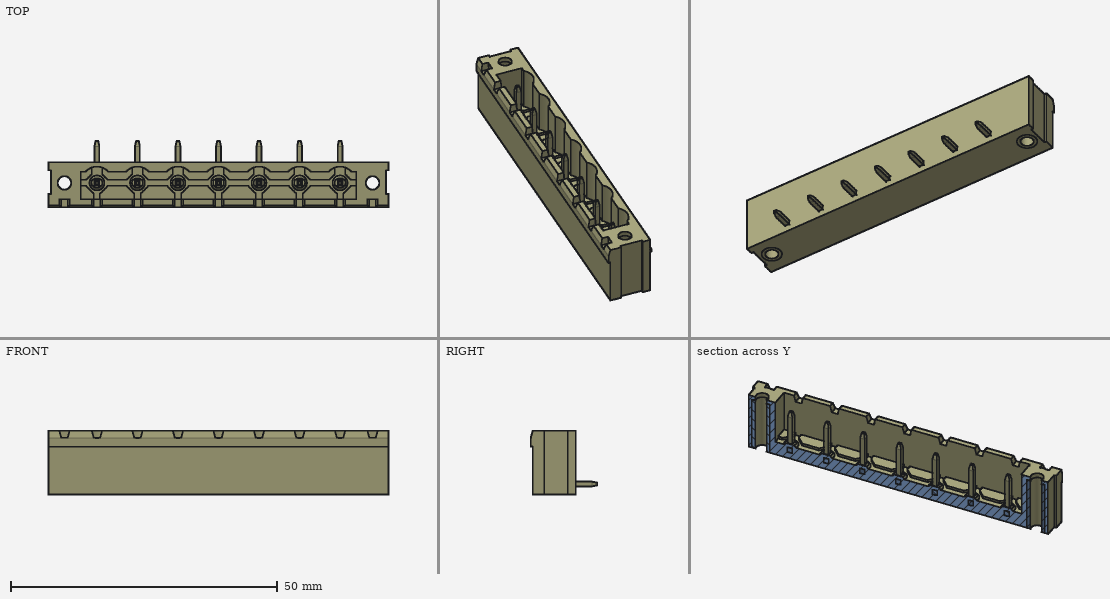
import cadquery as cq


length = 63.9
height = 12.0
front_y = -8.1
bead_projection = 0.4
bead_height = 3.0
bead_chamfer_drop = 1.35
bead_y = front_y - bead_projection

notch_depth = 0.45
notch_back_y = -1.55
notch_front_y = -5.95

pin_count = 7
row_span = 45.7
pitch = row_span / (pin_count - 1)
row_y = -3.9
pin_xs = [(i - (pin_count - 1) / 2) * pitch for i in range(pin_count)]

pin_width = 0.95
pin_tip_width = 0.5
pin_taper = 1.0
pin_top_z = 10.55
tail_z = 2.0
tail_end_y = 4.0

cavity_length = 51.8
cavity_back_y = -1.8
cavity_front_y = -6.95
floor_z = 3.5
bay_radius = 2.9
bay_back_y = -0.8
bay_center_y = bay_back_y - bay_radius

groove_depth = 0.5
groove_width = 1.15
back_groove_width = 2.0
groove_diamond_reach = 2.6
groove_z = floor_z - groove_depth

cone_base_diameter = 2.8
cone_top_diameter = 1.85
cone_height = 0.6
cone_slot_depth = 0.1

slot_top_width = 1.9
slot_bottom_width = 1.2
slot_depth = 1.35

mount_x = 28.95
mount_xs = [-mount_x, mount_x]
mount_diameter = 2.5
sleeve_diameter = 3.85
sleeve_top_z = height - 0.95


def box(x_min, x_max, y_min, y_max, z_min, z_max):
    """Axis-aligned block between two corners."""
    size = (x_max - x_min, y_max - y_min, z_max - z_min)
    return cq.Workplane("XY").box(*size, centered=False).translate((x_min, y_min, z_min))


def cylinder(x, diameter, z_min, z_max):
    """Upright cylinder on the pin row line."""
    disc = cq.Workplane("XY", origin=(x, row_y, z_min)).circle(diameter / 2)
    return disc.extrude(z_max - z_min)


def make_shell():
    """Bar with a chamfered bead along the top of its front face."""
    profile = [
        (0, 0),
        (front_y, 0),
        (front_y, height - bead_height),
        (bead_y, height - bead_height),
        (bead_y, height - bead_chamfer_drop),
        (front_y, height),
        (0, height),
    ]
    return cq.Workplane("YZ").polyline(profile).close().extrude(length / 2, both=True)


def make_end_notch(side):
    """Full-height notch in one end face; side is -1 or 1."""
    inner_x = side * (length / 2 - notch_depth)
    outer_x = side * length / 2
    x_min, x_max = sorted((inner_x, outer_x))
    return box(x_min, x_max, notch_front_y, notch_back_y, 0, height)


def make_cavity(z_min, z_max):
    """Layer of the mating cavity, with a rounded bay in its back wall behind each pin."""
    half = cavity_length / 2
    cavity = box(-half, half, cavity_front_y, cavity_back_y, z_min, z_max)
    for x in pin_xs:
        disc = cq.Workplane("XY", origin=(x, bay_center_y, z_min)).circle(bay_radius)
        cavity = cavity.union(disc.extrude(z_max - z_min))
    return cavity


def make_floor_grooves():
    """Grooves along the row and across it, widening to a diamond around each pin."""
    half = cavity_length / 2
    half_width = groove_width / 2
    back_half_width = back_groove_width / 2
    grooves = box(-half, half, row_y - half_width, row_y + half_width, groove_z, floor_z)
    for x in pin_xs:
        diamond = (
            cq.Workplane("XY", origin=(x, row_y, groove_z))
            .polygon(4, 2 * groove_diamond_reach)
            .extrude(groove_depth)
        )
        front = box(x - half_width, x + half_width, cavity_front_y, row_y, groove_z, floor_z)
        back = box(x - back_half_width, x + back_half_width, row_y, bay_back_y, groove_z, floor_z)
        grooves = grooves.union(diamond).union(front).union(back)
    return grooves.intersect(make_cavity(groove_z, floor_z))


def make_cone(x):
    """Tapered collar that rises from the groove around a pin, with a shallow slot across its top."""
    half_length = cone_base_diameter / 2
    half_width = groove_width / 2
    top_z = groove_z + cone_height
    cone = (
        cq.Workplane("XY", origin=(x, row_y, groove_z))
        .circle(cone_base_diameter / 2)
        .workplane(offset=cone_height)
        .circle(cone_top_diameter / 2)
        .loft()
    )
    slot_z = top_z - cone_slot_depth
    slot = box(x - half_length, x + half_length, row_y - half_width, row_y + half_width, slot_z, top_z)
    return cone.cut(slot)


def make_coding_slot(x):
    """Slot with sloping sides across the top of the front wall."""
    bottom_z = height - slot_depth
    outline = [
        (x - slot_bottom_width / 2, bottom_z),
        (x + slot_bottom_width / 2, bottom_z),
        (x + slot_top_width / 2, height),
        (x - slot_top_width / 2, height),
    ]
    plane = cq.Workplane("XZ", origin=(0, cavity_front_y, 0))
    return plane.polyline(outline).close().extrude(cavity_front_y - bead_y)


def make_tapered_bar(plane, bar_length):
    """Square bar along the plane's normal, tapered at its far end."""
    straight_length = bar_length - pin_taper
    straight = cq.Workplane(plane).rect(pin_width, pin_width).extrude(straight_length)
    tip = (
        cq.Workplane(plane)
        .workplane(offset=straight_length)
        .rect(pin_width, pin_width)
        .workplane(offset=pin_taper)
        .rect(pin_tip_width, pin_tip_width)
        .loft()
    )
    return straight.union(tip)


def make_pin(x):
    """Right-angled pin: an upright contact and a tail that leaves through the back face."""
    half = pin_width / 2
    foot_z = tail_z - half
    contact_plane = cq.Plane(origin=(x, row_y, foot_z), xDir=(1, 0, 0), normal=(0, 0, 1))
    tail_plane = cq.Plane(origin=(x, row_y - half, tail_z), xDir=(1, 0, 0), normal=(0, 1, 0))
    contact = make_tapered_bar(contact_plane, pin_top_z - foot_z)
    tail = make_tapered_bar(tail_plane, tail_end_y - row_y + half)
    return contact.union(tail)


def make_sleeve(x):
    """Mounting sleeve set into the underside, its bore in line with the hole above it."""
    bore = cylinder(x, mount_diameter, 0, sleeve_top_z)
    return cylinder(x, sleeve_diameter, 0, sleeve_top_z).cut(bore)


def make_housing(pins):
    """Housing with all its openings, and a matching passage for each pin."""
    body = make_shell()
    for side in (-1, 1):
        body = body.cut(make_end_notch(side))
    body = body.cut(make_cavity(floor_z, height)).cut(make_floor_grooves())
    for x in pin_xs:
        body = body.union(make_cone(x))
    for x in mount_xs + pin_xs:
        body = body.cut(make_coding_slot(x))
    for x in mount_xs:
        body = body.cut(cylinder(x, mount_diameter, 0, height))
        body = body.cut(cylinder(x, sleeve_diameter, 0, sleeve_top_z))
    for pin in pins:
        body = body.cut(pin)
    return body


pins = [make_pin(x) for x in pin_xs]
sleeves = [make_sleeve(x) for x in mount_xs]
housing = make_housing(pins)

result = cq.Compound.makeCompound(
    [housing.val(), *[pin.val() for pin in pins], *[sleeve.val() for sleeve in sleeves]]
)